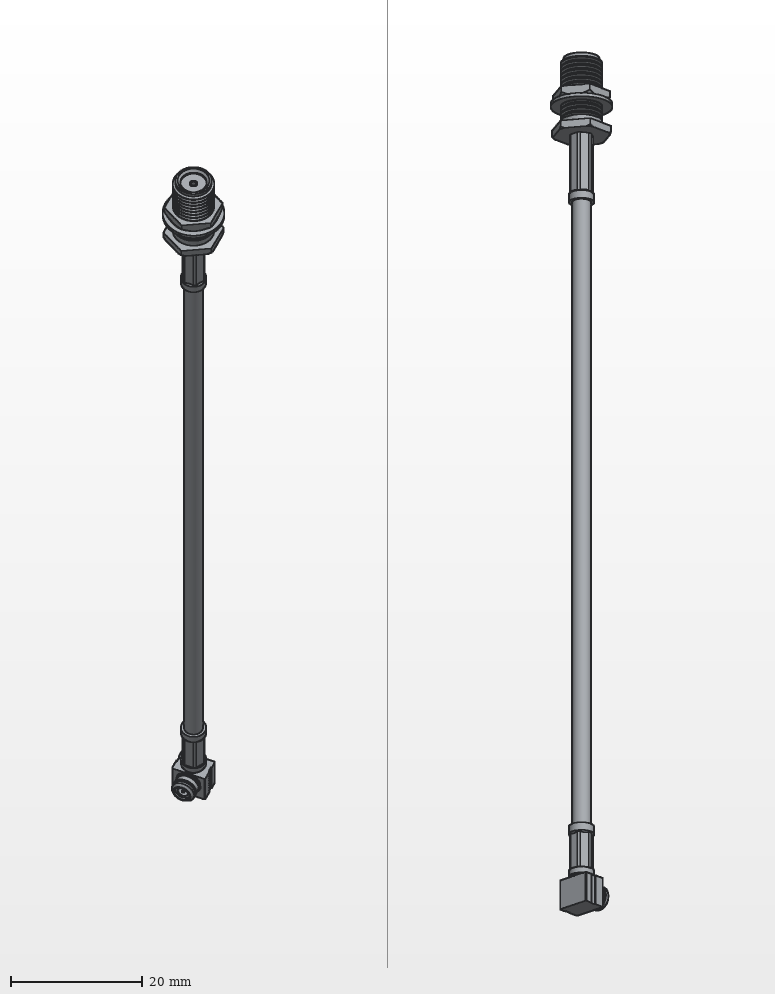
import cadquery as cq
import math

total_length = 138.3

thread_diameter = 6.4
thread_root_diameter = 5.5
thread_pitch = 0.7
thread_root_land = 0.1
thread_crest_land = 0.1
thread_bottom = 128.0
thread_lead_in = 0.5
flange_top = 127.0
flange_bottom = 125.7
flange_flats = 8.0
flange_corner_chamfer = 0.3
jack_bore_diameter = 4.0
jack_bore_depth = 9.7
jack_mouth_chamfer = 0.4
insulator_recess = 0.7
contact_diameter = 1.19
contact_hole_diameter = 0.76
contact_hole_depth = 2.8

nut_flats = 7.7
nut_top = 132.6
nut_bottom = 131.0
nut_corner_chamfer = 0.7
washer_diameter = 9.4
washer_thickness = 0.5

cable_diameter = 2.9
ferrule_flats = 3.3
ferrule_corner_diameter = 3.6
ferrule_ring_diameter = 3.9
ferrule_ring_length = 1.7
ferrule_ring_chamfer = 0.4
jack_ferrule_bottom = 114.9
plug_ferrule_top = 13.3

block_width = 5.5
block_depth = 3.9
block_height = 4.7
block_corner_chamfer = 0.1
side_groove_center = 0.21
side_groove_width = 0.8
side_groove_depth = 0.1
neck_top = 6.1
neck_diameter = 3.9
neck_groove_diameter = 3.3
neck_groove_length = 0.4
plug_axis_height = 2.6
plug_seat_diameter = 4.0
plug_seat_depth = 0.3
plug_diameter = 3.7
plug_tip = -4.4
plug_groove_diameter = 3.5
plug_groove_width = 0.3
plug_groove_starts = (-2.0, -3.2)
plug_tip_chamfer = 0.4
plug_mouth_diameter = 2.5
plug_mouth_depth = 0.4
plug_bore_diameter = 1.7
plug_bore_depth = 2.4
pin_diameter = 0.4
pin_socket_depth = 0.7
pin_setback = 0.4


def rod(diameter, bottom, top):
    """Round rod on the Z axis."""
    return cq.Workplane("XY").workplane(offset=bottom).circle(diameter / 2).extrude(top - bottom)


def hex_prism(flats, bottom, top):
    """Hexagonal prism on the Z axis with corners on the X axis."""
    corners = flats / math.cos(math.pi / 6)
    return cq.Workplane("XY").workplane(offset=bottom).polygon(6, corners).extrude(top - bottom)


def hex_nut_blank(flats, bottom, top, corner_chamfer):
    """Hexagonal prism with corners on the Y axis, coned off at its bottom corners."""
    corners = flats / math.cos(math.pi / 6)
    cone = rod(corners, bottom, top).faces("<Z").chamfer(corner_chamfer)
    return hex_prism(flats, bottom, top).rotate((0, 0, 0), (0, 0, 1), 90).intersect(cone)


def threaded_rod():
    """Thread as a stack of trapezoidal ridges, with a plain lead-in at the top."""
    root = thread_root_diameter / 2
    crest = thread_diameter / 2
    flank_height = (thread_pitch - thread_root_land - thread_crest_land) / 2
    ridge_count = int((total_length - thread_lead_in - thread_bottom) / thread_pitch)
    profile = cq.Workplane("XZ").moveTo(0, thread_bottom).lineTo(root, thread_bottom)
    for ridge in range(ridge_count):
        ridge_bottom = thread_bottom + thread_root_land + ridge * thread_pitch
        profile = profile.lineTo(root, ridge_bottom)
        profile = profile.lineTo(crest, ridge_bottom + flank_height)
        profile = profile.lineTo(crest, ridge_bottom + flank_height + thread_crest_land)
        profile = profile.lineTo(root, ridge_bottom + 2 * flank_height + thread_crest_land)
    profile = profile.lineTo(root, total_length).lineTo(0, total_length).close()
    return profile.revolve(360, (0, 0, 0), (0, 1, 0))


def make_jack_body():
    body = threaded_rod()
    body = body.union(rod(thread_diameter, flange_top, thread_bottom))
    body = body.union(hex_nut_blank(flange_flats, flange_bottom, flange_top, flange_corner_chamfer))
    body = body.cut(rod(jack_bore_diameter, total_length - jack_bore_depth, total_length))
    bore_radius = jack_bore_diameter / 2
    mouth_bottom = cq.Vector(0, 0, total_length - jack_mouth_chamfer)
    mouth = cq.Solid.makeCone(
        bore_radius, bore_radius + jack_mouth_chamfer, jack_mouth_chamfer, pnt=mouth_bottom
    )
    return body.cut(cq.Workplane(mouth))


def make_jack_insulator():
    bottom = total_length - jack_bore_depth
    top = total_length - insulator_recess
    return rod(jack_bore_diameter, bottom, top).cut(rod(contact_diameter, bottom, top))


def make_jack_contact():
    bottom = total_length - jack_bore_depth
    top = total_length - insulator_recess
    hole = rod(contact_hole_diameter, top - contact_hole_depth, top)
    return rod(contact_diameter, bottom, top).cut(hole)


def make_nut():
    nut = hex_nut_blank(nut_flats, nut_bottom, nut_top, nut_corner_chamfer)
    return nut.cut(threaded_rod())


def make_washer():
    bottom = nut_bottom - washer_thickness
    return rod(washer_diameter, bottom, nut_bottom).cut(rod(thread_diameter, bottom, nut_bottom))


def make_cable():
    return rod(cable_diameter, neck_top, flange_bottom)


def make_ferrule(bottom, top, ring_end):
    """Sleeve crimped to a blunt-cornered hexagon, with a round ring left at its ring_end ("<Z" or ">Z")."""
    sleeve = hex_prism(ferrule_flats, bottom, top).intersect(rod(ferrule_corner_diameter, bottom, top))
    if ring_end == "<Z":
        ring = rod(ferrule_ring_diameter, bottom, bottom + ferrule_ring_length)
        ring = ring.faces(">Z").chamfer(ferrule_ring_chamfer)
    else:
        ring = rod(ferrule_ring_diameter, top - ferrule_ring_length, top)
        ring = ring.faces("<Z").chamfer(ferrule_ring_chamfer)
    return sleeve.union(ring).cut(rod(cable_diameter, bottom, top))


def plug_rod(diameter, start, end):
    """Round rod on the plug axis between two Y positions."""
    plane = cq.Plane(origin=(0, start, plug_axis_height), xDir=(1, 0, 0), normal=(0, -1, 0))
    return cq.Workplane(plane).circle(diameter / 2).extrude(start - end)


def make_plug_block():
    """Block with a groove down each side face and a round seat in its front face."""
    block = cq.Workplane("XY").box(block_width, block_depth, block_height, centered=(True, True, False))
    block = block.edges("|Z").chamfer(block_corner_chamfer)
    for side in (-1, 1):
        groove = cq.Workplane("XY").box(2 * side_groove_depth, side_groove_width, 2 * block_height)
        block = block.cut(groove.translate((side * block_width / 2, side_groove_center, 0)))
    front = -block_depth / 2
    return block.cut(plug_rod(plug_seat_diameter, front + plug_seat_depth, front))


def make_plug_barrel():
    """Round barrel with a groove at its root, a snap groove and a chamfered tip."""
    seat_floor = -block_depth / 2 + plug_seat_depth
    barrel = plug_rod(plug_diameter, seat_floor, plug_tip).faces("<Y").chamfer(plug_tip_chamfer)
    for start in plug_groove_starts:
        end = start - plug_groove_width
        groove = plug_rod(plug_diameter, start, end).cut(plug_rod(plug_groove_diameter, start, end))
        barrel = barrel.cut(groove)
    return barrel


def make_plug_body():
    neck_groove_top = block_height + neck_groove_length
    body = make_plug_block().union(make_plug_barrel())
    body = body.union(rod(neck_groove_diameter, block_height, neck_groove_top))
    body = body.union(rod(neck_diameter, neck_groove_top, neck_top))
    body = body.cut(plug_rod(plug_bore_diameter, plug_tip + plug_bore_depth, plug_tip))
    body = body.cut(plug_rod(plug_mouth_diameter, plug_tip + plug_mouth_depth, plug_tip))
    return body.cut(make_plug_pin())


def make_plug_pin():
    start = plug_tip + plug_bore_depth + pin_socket_depth
    return plug_rod(pin_diameter, start, plug_tip + pin_setback)


jack_ferrule = make_ferrule(jack_ferrule_bottom, flange_bottom, "<Z")
plug_ferrule = make_ferrule(neck_top, plug_ferrule_top, ">Z")

result = cq.Compound.makeCompound(
    [
        make_jack_body().val(),
        make_jack_insulator().val(),
        make_jack_contact().val(),
        make_nut().val(),
        make_washer().val(),
        make_cable().val(),
        jack_ferrule.val(),
        plug_ferrule.val(),
        make_plug_body().val(),
        make_plug_pin().val(),
    ]
)